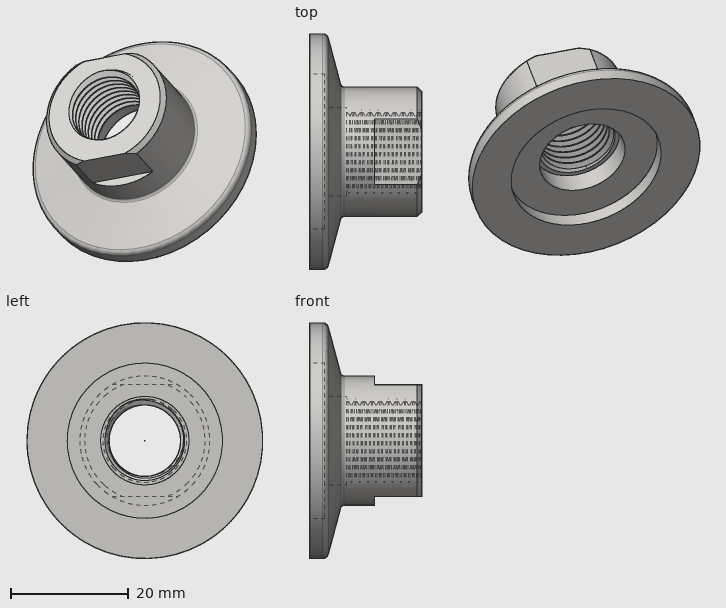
import cadquery as cq
import math

flange_diameter = 40.0
edge_thickness = 2.95
cone_angle = 15.0
rim_fillet = 1.0
overall_length = 19.0

hub_diameter = 22.0
hub_root_fillet = 0.5
hub_chamfer = 0.8
flat_start = 11.0
flat_spacing = 19.0

recess_diameter = 26.3
recess_depth = 2.5
counterbore_diameter = 15.0
counterbore_depth = 3.75

bore_diameter = 12.1
thread_root_diameter = 14.15
thread_pitch = 1.4
lead_in_diameter = 13.5
crest_flat = 0.2
thread_start_angle = 150.0
groove_overlap = 0.1

marker_diameter = 0.1
marker_length = 0.1

shelf_x = recess_depth + counterbore_depth


def cylinder(start, end, diameter):
    """Cylinder along X from start to end."""
    return cq.Workplane("YZ", origin=(start, 0, 0)).circle(diameter / 2).extrude(end - start)


def make_outside():
    """Revolved flange and hub with rounded rim and hub root."""
    flange_radius = flange_diameter / 2
    hub_radius = hub_diameter / 2
    cone_end = edge_thickness + (flange_radius - hub_radius) * math.tan(math.radians(cone_angle))
    body = (
        cq.Workplane("XY")
        .moveTo(0, 0)
        .lineTo(0, flange_radius)
        .lineTo(edge_thickness, flange_radius)
        .lineTo(cone_end, hub_radius)
        .lineTo(overall_length, hub_radius)
        .lineTo(overall_length, 0)
        .close()
        .revolve(360, (0, 0, 0), (1, 0, 0))
    )

    def circle_at(x, radius):
        gap = 0.05
        low = (x - gap, -radius - gap, -radius - gap)
        high = (x + gap, radius + gap, radius + gap)
        return cq.selectors.BoxSelector(low, high, boundingbox=True)

    body = body.edges(circle_at(edge_thickness, flange_radius)).fillet(rim_fillet)
    body = body.edges(circle_at(cone_end, hub_radius)).fillet(hub_root_fillet)
    return body.faces(">X").edges().chamfer(hub_chamfer)


def cut_flats(body):
    """Two parallel wrench flats, above and below the axis."""
    length = overall_length - flat_start
    depth = (hub_diameter - flat_spacing) / 2
    for side in (1, -1):
        middle_z = side * (flat_spacing + depth) / 2
        block = cq.Workplane("XY").box(length, hub_diameter, depth)
        body = body.cut(block.translate((flat_start + length / 2, 0, middle_z)))
    return body


def cut_openings(body):
    """Recess, counterbore, bore and the conical lead-in to the thread."""
    body = body.cut(cylinder(0, recess_depth, recess_diameter))
    body = body.cut(cylinder(recess_depth, shelf_x, counterbore_diameter))
    body = body.cut(cylinder(shelf_x, overall_length, bore_diameter))
    lead_in_depth = (lead_in_diameter - bore_diameter) / 2
    lead_in = cq.Solid.makeCone(
        lead_in_diameter / 2, bore_diameter / 2, lead_in_depth,
        pnt=cq.Vector(shelf_x, 0, 0), dir=cq.Vector(1, 0, 0),
    )
    return body.cut(cq.Workplane(lead_in))


def make_thread_groove():
    """Helical V groove that runs past both ends of the bore."""
    bore_radius = bore_diameter / 2
    root_radius = thread_root_diameter / 2
    mouth = thread_pitch - crest_flat
    flank_slope = mouth / 2 / (root_radius - bore_radius)
    inner_radius = bore_radius - groove_overlap
    inner_half_width = mouth / 2 + groove_overlap * flank_slope
    helix_length = overall_length - shelf_x + 2 * thread_pitch
    helix = cq.Wire.makeHelix(thread_pitch, helix_length, bore_radius)
    groove = (
        cq.Workplane("XZ")
        .moveTo(inner_radius, -inner_half_width)
        .lineTo(root_radius, 0)
        .lineTo(inner_radius, inner_half_width)
        .close()
        .sweep(cq.Workplane(helix), isFrenet=True)
    )
    groove = groove.rotate((0, 0, 0), (0, 0, 1), thread_start_angle)
    return groove.rotate((0, 0, 0), (0, 1, 0), 90).translate((shelf_x - thread_pitch, 0, 0))


def make_flange():
    body = cut_openings(cut_flats(make_outside()))
    return body.cut(make_thread_groove())


def make_marker():
    return cylinder(0, marker_length, marker_diameter)


flange = make_flange()
marker = make_marker()
result = cq.Compound.makeCompound([flange.val(), marker.val()])